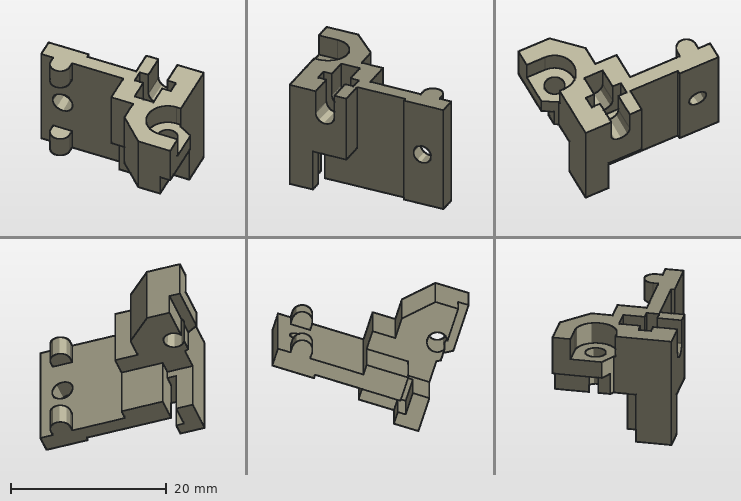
import cadquery as cq

length = 22.5
depth = 15.2
height = 14.8

plate_front = 10.05
plate_thickness = 1.94
plate_back = plate_front + plate_thickness
tail_length = 5.62
tail_thickness = 2.4

pin_x = 3.02
pin_diameter = 2.65
pin_reach = 2.1
pin_height = 2.9
screw_hole_diameter = 2.8
screw_hole_end_diameter = 2.45

body_left = 12.49
body_right = 20.56
block_left = 11.52
block_front = 6.2

arm_left = 14.58
arm_chamfer = 3.45
arm_base = 6.75
arm_corner_y = 6.48
arm_shoulder_y = 7.6
arm_step_x = 21.08
arm_step_z = 9.65

arm_hole_x = 19.9
arm_hole_y = 5.1
arm_hole_diameter = 2.65
recess_radius = 2.75
recess_depth = 2.88

wall_front = 8.7
wall_right = 17.12
clip_height = 5.7
post_left = 18.32
post_front = 10.53
lip_reach = 1.05
lip_thickness = 1.66

channel_x = 15.52
channel_width = 2.65
channel_front = 7.54
channel_axis_depth = 3.2
channel_axis_z = height - channel_axis_depth
nut_width = 5.05
nut_front = 10.35
nut_back = plate_back
nut_floor = channel_axis_z - nut_width / 2


def box(x0, x1, y0, y1, z0, z1):
    """Box spanning the given limits along each axis."""
    return cq.Workplane("XY").box(x1 - x0, y1 - y0, z1 - z0, centered=False).translate((x0, y0, z0))


def mounting_plate():
    """Thin plate with a thicker tail at its left end."""
    plate = box(0, body_left, plate_front, plate_back, 0, height)
    tail = box(0, tail_length, plate_front, plate_front + tail_thickness, 0, height)
    return plate.union(tail)


def locating_pin(base_z):
    """Round-nosed pin standing out of the front of the plate."""
    radius = pin_diameter / 2
    nose_y = plate_front - pin_reach
    return (
        cq.Workplane("XY", origin=(0, 0, base_z))
        .moveTo(pin_x - radius, plate_front)
        .lineTo(pin_x - radius, nose_y + radius)
        .threePointArc((pin_x, nose_y), (pin_x + radius, nose_y + radius))
        .lineTo(pin_x + radius, plate_front)
        .close()
        .extrude(pin_height)
    )


def screw_hole():
    """Hole through the plate tail, narrowing evenly from front to back."""
    front_radius = screw_hole_diameter / 2
    end_radius = screw_hole_end_diameter / 2
    return (
        cq.Workplane("XY", origin=(pin_x, plate_front, height / 2))
        .polyline([
            (0, 0),
            (front_radius, 0),
            (end_radius, tail_thickness),
            (0, tail_thickness),
        ])
        .close()
        .revolve(360, (0, 0, 0), (0, 1, 0))
    )


def upper_body():
    """Central body and corner arm, from the arm underside to the top."""
    outline = [
        (block_left, plate_back),
        (block_left, block_front),
        (arm_left, block_front),
        (arm_left, arm_chamfer),
        (arm_left + arm_chamfer, 0),
        (length, 0),
        (length, arm_corner_y),
        (body_right, arm_shoulder_y),
        (body_right, depth),
        (body_left, depth),
        (body_left, plate_back),
    ]
    body = cq.Workplane("XY", origin=(0, 0, arm_base)).polyline(outline).close().extrude(height - arm_base)
    step = box(arm_step_x, length, 0, depth, arm_base, arm_step_z)
    return body.cut(step)


def lower_clip():
    """Front wall, bridge and hooked post below the central body."""
    wall = box(block_left, wall_right, wall_front, plate_back, 0, arm_base)
    bridge = box(body_left, body_right, post_front, depth, clip_height, arm_base)
    post = box(post_left, body_right, post_front, depth, 0, arm_base)
    lip = box(post_left - lip_reach, post_left, depth - lip_thickness, depth, 0, clip_height)
    return wall.union(bridge).union(post).union(lip)


def arm_recess():
    """Vertical hole under a round-ended recess that opens to the right."""
    hole = (
        cq.Workplane("XY", origin=(arm_hole_x, arm_hole_y, 0))
        .circle(arm_hole_diameter / 2)
        .extrude(height)
    )
    floor_z = height - recess_depth
    round_end = (
        cq.Workplane("XY", origin=(arm_hole_x, arm_hole_y, floor_z))
        .circle(recess_radius)
        .extrude(recess_depth)
    )
    opening = box(
        arm_hole_x, length,
        arm_hole_y - recess_radius, arm_hole_y + recess_radius,
        floor_z, height,
    )
    return hole.union(round_end).union(opening)


def screw_channel():
    """Round-bottomed channel open to the back and top, crossed by a nut pocket."""
    radius = channel_width / 2
    round_bottom = (
        cq.Workplane("XZ", origin=(channel_x, depth, channel_axis_z))
        .circle(radius)
        .extrude(depth - channel_front)
    )
    straight = box(
        channel_x - radius, channel_x + radius,
        channel_front, depth,
        channel_axis_z, height,
    )
    nut_pocket = box(
        channel_x - nut_width / 2, channel_x + nut_width / 2,
        nut_front, nut_back,
        nut_floor, height,
    )
    return round_bottom.union(straight).union(nut_pocket)


result = mounting_plate().union(upper_body()).union(lower_clip())
for pin_base in (0, height - pin_height):
    result = result.union(locating_pin(pin_base))
for cutter in (screw_hole(), arm_recess(), screw_channel()):
    result = result.cut(cutter)